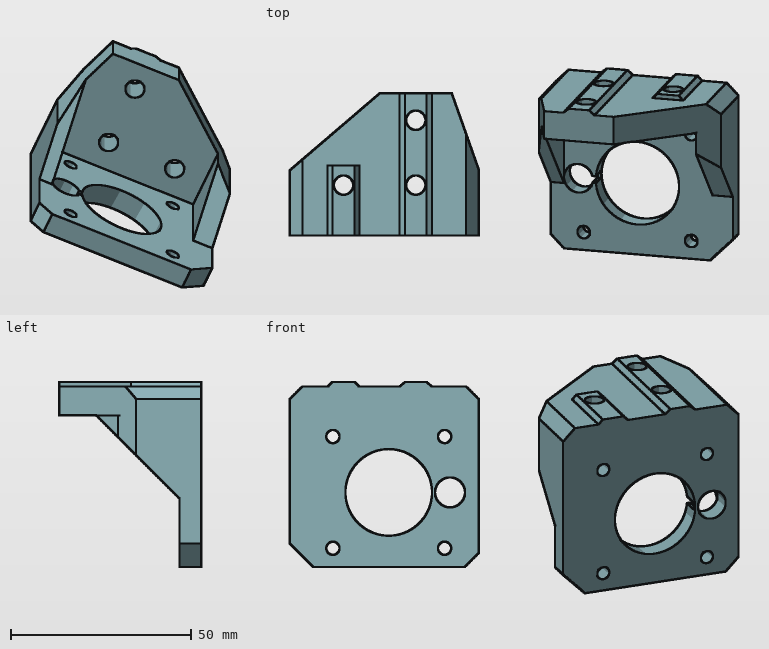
import cadquery as cq

width = 52.5
depth = 39.5
ridge_height = 1.3
height = 51.4 - ridge_height

top_chamfer = 3.5
bottom_left_chamfer = 6.5
bottom_right_chamfer = 3.9
plate_thickness = 6.1

motor_x = 27.5
motor_z = 20.7
motor_bore_diameter = 24.0
motor_screw_diameter = 3.6
motor_screw_spacing = 31.0

left_wall_thickness = 5.85
right_wall_thickness = 3.85
flange_thickness = 8.0
motor_space_width = width - left_wall_thickness - right_wall_thickness
flange_underside_z = height - flange_thickness

gusset_start_z = 19.0
gusset_end_y = plate_thickness + flange_underside_z - gusset_start_z

motor_to_rod = 17.0
rod_x = motor_x + motor_to_rod
rod_hole_diameter = 8.25
rod_slot_height = 2.0
rod_slot_start_y = 0.9

left_side_depth = 18.1
right_side_depth = 18.3
flange_left_x = 25.0
flange_right_x = 45.0

left_ridge_x = 14.95
right_ridge_x = 35.0
left_ridge_length = 19.5
left_ridge_base_width = 8.8
left_ridge_top_width = 6.2
right_ridge_base_width = 9.0
right_ridge_top_width = 5.9
flange_screw_diameter = 5.3
front_screw_y = 14.0
screw_spacing_y = 18.0
rear_screw_y = front_screw_y + screw_spacing_y


def extrude_back(section, length):
    """Extrude an XZ outline toward +Y from the front face."""
    return cq.Workplane("XZ").placeSketch(section).extrude(-length)


def polygon(points):
    """Closed sketch through the given corners."""
    return cq.Sketch().polygon(points + points[:1])


def make_block():
    """Block with chamfered long edges, trimmed to the flange outline."""
    front = polygon([
        (bottom_left_chamfer, 0),
        (width - bottom_right_chamfer, 0),
        (width, bottom_right_chamfer),
        (width, height - top_chamfer),
        (width - top_chamfer, height),
        (top_chamfer, height),
        (0, height - top_chamfer),
        (0, bottom_left_chamfer),
    ])
    plan = polygon([
        (0, 0),
        (width, 0),
        (width, right_side_depth),
        (flange_right_x, depth),
        (flange_left_x, depth),
        (0, left_side_depth),
    ])
    plan_prism = cq.Workplane("XY").placeSketch(plan).extrude(height)
    return extrude_back(front, depth).intersect(plan_prism)


def make_side_envelope():
    """Side profile: plate, sloping gusset and flange, across the full width."""
    profile = [
        (0, 0),
        (plate_thickness, 0),
        (plate_thickness, gusset_start_z),
        (gusset_end_y, flange_underside_z),
        (depth, flange_underside_z),
        (depth, height),
        (0, height),
    ]
    return cq.Workplane("YZ").polyline(profile).close().extrude(width)


def make_motor_space():
    """Space behind the plate, between the walls and below the flange."""
    return cq.Workplane("XY").box(
        motor_space_width,
        depth - plate_thickness,
        flange_underside_z,
        centered=False,
    ).translate((left_wall_thickness, plate_thickness, 0))


def make_ridge(center_x, base_width, top_width, length):
    """Trapezoidal locating ridge on the flat top, running back from the front face."""
    section = polygon([
        (center_x - base_width / 2, height),
        (center_x + base_width / 2, height),
        (center_x + top_width / 2, height + ridge_height),
        (center_x - top_width / 2, height + ridge_height),
    ])
    return extrude_back(section, length)


def make_y_cylinder(x, z, diameter):
    """Cylinder along Y through the full depth of the part."""
    section = cq.Sketch().push([(x, z)]).circle(diameter / 2)
    return extrude_back(section, depth)


def cut_motor_holes(body):
    """Motor bore and its square pattern of four screw holes."""
    body = body.cut(make_y_cylinder(motor_x, motor_z, motor_bore_diameter))
    offset = motor_screw_spacing / 2
    for x in (motor_x - offset, motor_x + offset):
        for z in (motor_z - offset, motor_z + offset):
            body = body.cut(make_y_cylinder(x, z, motor_screw_diameter))
    return body


def cut_rod_hole(body):
    """Rod hole and the slot from the motor bore into it."""
    slot = cq.Workplane("XY").box(
        motor_to_rod,
        plate_thickness - rod_slot_start_y,
        rod_slot_height,
        centered=(False, False, True),
    ).translate((motor_x, rod_slot_start_y, motor_z))
    return body.cut(make_y_cylinder(rod_x, motor_z, rod_hole_diameter)).cut(slot)


def cut_flange_screws(body):
    """Vertical screw holes through the ridges and the flange."""
    screw_centers = [
        (left_ridge_x, front_screw_y),
        (right_ridge_x, front_screw_y),
        (right_ridge_x, rear_screw_y),
    ]
    screws = (
        cq.Workplane("XY", origin=(0, 0, flange_underside_z))
        .pushPoints(screw_centers)
        .circle(flange_screw_diameter / 2)
        .extrude(height + ridge_height - flange_underside_z)
    )
    return body.cut(screws)


bracket = make_block().intersect(make_side_envelope()).cut(make_motor_space())
bracket = bracket.union(
    make_ridge(left_ridge_x, left_ridge_base_width, left_ridge_top_width, left_ridge_length)
)
bracket = bracket.union(
    make_ridge(right_ridge_x, right_ridge_base_width, right_ridge_top_width, depth)
)
bracket = cut_motor_holes(bracket)
bracket = cut_rod_hole(bracket)
bracket = cut_flange_screws(bracket)

result = bracket